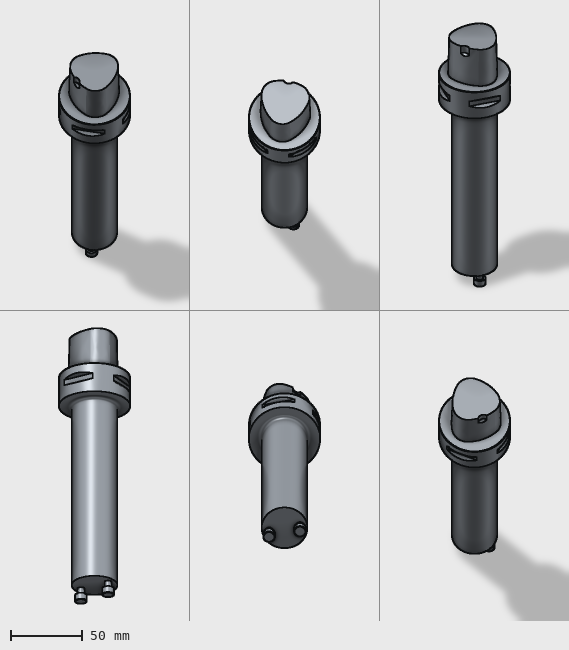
import cadquery as cq
import math

total_height = 200.0
flange_top = 170.0
flange_bottom = 148.0
body_bottom = 10.0

flange_diameter = 50.0
flange_chamfer = 0.5
body_diameter = 32.0
neck_fillet = 3.0

lobe_count = 3
first_lobe_angle = 90.0
lobe_tip_distance = 18.5
lobe_arc_radius = 11.2
side_distance = 16.0
shank_taper = 0.025

notch_radius = 4.0
notch_axis_y = -17.5
notch_depth = 5.8
notch_tip_height = 3.0

groove_count = 4
first_groove_angle = 45.0
groove_center_z = 160.0
groove_floor_distance = 22.2
groove_floor_height = 4.0
groove_wall_angle = 30.0

screw_circle_diameter = 22.0
screw_head_diameter = 8.5
screw_head_height = 5.0
screw_head_chamfer = 0.5
screw_shank_diameter = 5.0
screw_count = 2
first_screw_angle = 135.0


def make_flange_and_body():
    """Plain round body hanging from the gripper flange."""
    flange_radius = flange_diameter / 2
    body_radius = body_diameter / 2
    return (
        cq.Workplane("XZ")
        .moveTo(0, body_bottom)
        .lineTo(body_radius, body_bottom)
        .lineTo(body_radius, flange_bottom - neck_fillet)
        .radiusArc((body_radius + neck_fillet, flange_bottom), neck_fillet)
        .lineTo(flange_radius, flange_bottom)
        .lineTo(flange_radius, flange_top - flange_chamfer)
        .lineTo(flange_radius - flange_chamfer, flange_top)
        .lineTo(0, flange_top)
        .close()
        .revolve(360, (0, 0, 0), (0, 1, 0))
    )


def polar_point(radius, angle):
    """XY point at the given radius and angle in degrees."""
    return (radius * math.cos(math.radians(angle)), radius * math.sin(math.radians(angle)))


def make_shank():
    """Six tangent arcs, extruded with a taper."""
    half_pitch = 180 / lobe_count

    lobe_center = lobe_tip_distance - lobe_arc_radius
    rise = lobe_tip_distance - side_distance
    side_center = (2 * rise * lobe_center - rise**2) / (lobe_center - 2 * rise)

    along_lobe = lobe_center + side_center * math.cos(math.radians(half_pitch))
    across_lobe = side_center * math.sin(math.radians(half_pitch))
    normal_angle = math.atan2(across_lobe, along_lobe)
    joint_x = lobe_center + lobe_arc_radius * math.cos(normal_angle)
    joint_y = lobe_arc_radius * math.sin(normal_angle)
    joint_distance = math.hypot(joint_x, joint_y)
    joint_angle = math.degrees(math.atan2(joint_y, joint_x))

    outline = cq.Workplane("XY", origin=(0, 0, flange_top))
    outline = outline.moveTo(*polar_point(joint_distance, first_lobe_angle - joint_angle))
    for i in range(lobe_count):
        lobe_angle = first_lobe_angle + i * 2 * half_pitch
        side_angle = lobe_angle + half_pitch
        next_lobe_angle = side_angle + half_pitch
        outline = outline.threePointArc(
            polar_point(lobe_tip_distance, lobe_angle),
            polar_point(joint_distance, lobe_angle + joint_angle),
        )
        outline = outline.threePointArc(
            polar_point(side_distance, side_angle),
            polar_point(joint_distance, next_lobe_angle - joint_angle),
        )
    taper_angle = math.degrees(math.atan(shank_taper))
    return outline.close().extrude(total_height - flange_top, taper=taper_angle)


def make_notch_cutter():
    """Drill shape: a vertical cylinder with a conical tip."""
    shoulder_z = total_height - notch_depth
    return (
        cq.Workplane("XZ", origin=(0, notch_axis_y, 0))
        .moveTo(0, shoulder_z - notch_tip_height)
        .lineTo(notch_radius, shoulder_z)
        .lineTo(notch_radius, total_height)
        .lineTo(0, total_height)
        .close()
        .revolve(360, (0, 0, 0), (0, 1, 0))
    )


def make_groove_cutter(direction):
    """Straight trapezoidal groove, cut square to the given direction in degrees."""
    groove_depth = flange_diameter / 2 - groove_floor_distance
    half_floor = groove_floor_height / 2
    half_mouth = half_floor + groove_depth * math.tan(math.radians(groove_wall_angle))
    return (
        cq.Workplane("XZ", origin=(0, 0, groove_center_z))
        .moveTo(groove_floor_distance, -half_floor)
        .lineTo(flange_diameter / 2, -half_mouth)
        .lineTo(flange_diameter / 2, half_mouth)
        .lineTo(groove_floor_distance, half_floor)
        .close()
        .extrude(flange_diameter / 2, both=True)
        .rotate((0, 0, 0), (0, 0, 1), direction)
    )


def make_screw(angle):
    """Cap screw whose head stands clear of the body, on the screw circle."""
    x, y = polar_point(screw_circle_diameter / 2, angle)
    head = (
        cq.Workplane("XY", origin=(x, y, 0))
        .circle(screw_head_diameter / 2)
        .extrude(screw_head_height)
        .faces("<Z")
        .chamfer(screw_head_chamfer)
    )
    shank = (
        cq.Workplane("XY", origin=(x, y, screw_head_height))
        .circle(screw_shank_diameter / 2)
        .extrude(body_bottom - screw_head_height)
    )
    return head.union(shank)


result = make_flange_and_body()
result = result.union(make_shank().cut(make_notch_cutter()))

for i in range(groove_count):
    result = result.cut(make_groove_cutter(first_groove_angle + i * 360 / groove_count))

for i in range(screw_count):
    result = result.union(make_screw(first_screw_angle + i * 360 / screw_count))